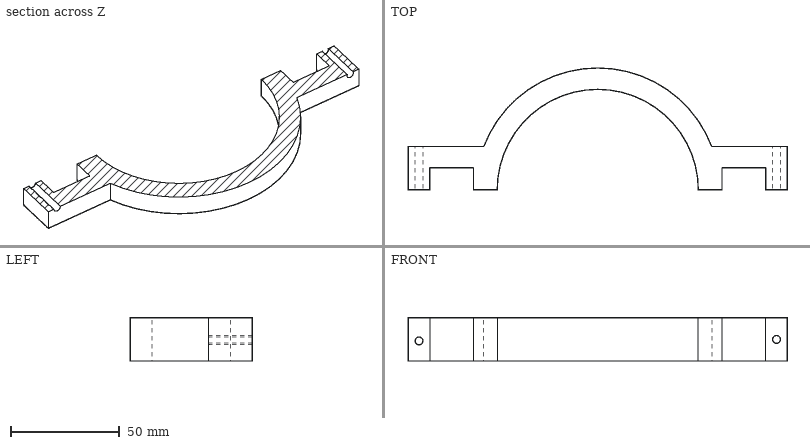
import cadquery as cq

length = 174.0
height = 20.0
outer_radius = 56.0
wall = 10.0
inner_radius = outer_radius - wall

ear_depth = 20.0
slot_width = 20.0
slot_depth = ear_depth - wall

hole_diameter = 3.5
hole_x = length / 2 - wall / 2
left_hole_z = -0.7
right_hole_z = 0.0


def block(x_size, y_size, x_center):
    """Full-height block standing on the parting plane y = 0."""
    base = cq.Workplane("XY").center(x_center, 0)
    return base.box(x_size, y_size, height, centered=(True, False, True))


def cylinder(radius):
    """Full-height cylinder on the clamp axis."""
    return cq.Workplane("XY", origin=(0, 0, -height / 2)).circle(radius).extrude(height)


def screw_hole(x, z):
    """Cutter along Y through an outer leg."""
    return cq.Workplane("XZ").center(x, z).circle(hole_diameter / 2).extrude(-ear_depth)


half_ring = cylinder(outer_radius).intersect(block(2 * outer_radius, outer_radius, 0))
result = half_ring.union(block(length, ear_depth, 0)).cut(cylinder(inner_radius))

slot_x = length / 2 - wall - slot_width / 2
for side, hole_z in ((-1, left_hole_z), (1, right_hole_z)):
    result = result.cut(block(slot_width, slot_depth, side * slot_x))
    result = result.cut(screw_hole(side * hole_x, hole_z))